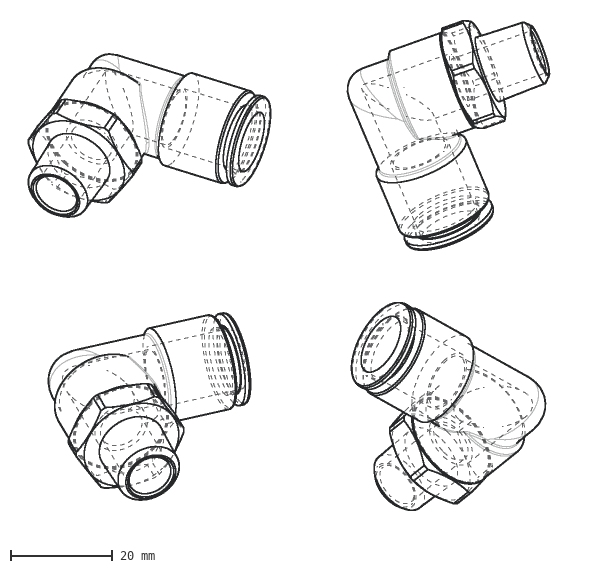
import cadquery as cq
import math


elbow_radius = 17 / 2
miter_fillet = 4
passage_diameter = 11

socket_radius = 19 / 2
socket_start_x = 11.85
socket_end_x = 25.6
socket_end_chamfer_length = 0.4
socket_end_chamfer_depth = 0.25
socket_root_fillet = 0.6
tube_hole_diameter = 12.15

collet_neck_radius = 13.5 / 2
collet_flange_radius = 18.5 / 2
collet_flange_start_x = 27.4
collet_end_x = 28.6
collet_chamfer_length = 0.4
collet_chamfer_depth = 0.2
collet_root_bevel = 0.15

sleeve_radius = 19.8 / 2
sleeve_top_y = -1.25
sleeve_cone_angle = 30
sleeve_fillet = 0.4
sleeve_cone_length = (sleeve_radius - elbow_radius) * math.tan(math.radians(sleeve_cone_angle))
sleeve_end_y = -12.75
sleeve_undercut_radius = 19.2 / 2

hex_across_flats = 20
hex_corner_radius = 22.5 / 2
hex_face_radius = 19.8 / 2
hex_top_y = -13
hex_height = 6
hex_chamfer_angle = 30

thread_length = 11
thread_root_radius = 13.45 / 2
thread_taper = 1 / 16
thread_tip_chamfer = 1.2
bore_diameter = 8.75
bore_mouth_chamfer = 0.45

hex_bottom_y = hex_top_y - hex_height
thread_end_y = hex_bottom_y - thread_length


def revolve_about_x(points):
    """Turn an (x, radius) outline about the tube axis."""
    return cq.Workplane("XY").polyline(points).close().revolve(360, (0, 0, 0), (1, 0, 0))


def revolve_about_y(stations):
    """Turn (y, radius) stations about the thread axis."""
    points = [(radius, y) for y, radius in stations]
    return cq.Workplane("XY").polyline(points).close().revolve(360, (0, 0, 0), (0, 1, 0))


def mitered_elbow(radius, reach_x, reach_y):
    """Two equal cylinders along +X and -Y, meeting on the 45 degree miter plane."""
    corner = (-2 * radius, 2 * radius)
    along_x = cq.Workplane("YZ").workplane(offset=-2 * radius).circle(radius).extrude(reach_x + 2 * radius)
    along_y = cq.Workplane("XZ").workplane(offset=-2 * radius).circle(radius).extrude(reach_y + 2 * radius)
    x_side = (
        cq.Workplane("XY").workplane(offset=-2 * radius)
        .polyline([corner, (reach_x, corner[1]), (reach_x, -reach_x)]).close().extrude(4 * radius)
    )
    y_side = (
        cq.Workplane("XY").workplane(offset=-2 * radius)
        .polyline([corner, (corner[0], -reach_y), (reach_y, -reach_y)]).close().extrude(4 * radius)
    )
    return along_x.intersect(x_side).union(along_y.intersect(y_side))


def rounded_miter_ball():
    """Round-over of the outer miter edge: a ball rolled along the mitered elbow from the inside.

    The ball centre follows a half ellipse in the miter plane; only the outward half of the swept
    tube is made, and the filled ellipse behind it closes the inside.
    """
    path_radius = elbow_radius - miter_fillet
    path_reach = path_radius * math.sqrt(2)
    miter_plane = cq.Plane(origin=(0, 0, 0), xDir=(-1, 1, 0), normal=(1, 1, 0))
    path = cq.Workplane(miter_plane).ellipseArc(path_reach, path_radius, -90, 90, startAtCurrent=False)
    start_plane = cq.Plane(origin=(0, 0, -path_radius), xDir=(1, 1, 0), normal=(-1, 1, 0))
    half_disc = (
        cq.Workplane(start_plane)
        .moveTo(-miter_fillet, 0)
        .threePointArc((0, miter_fillet), (miter_fillet, 0))
        .close()
    )
    rim = half_disc.sweep(path, isFrenet=True)
    filling = cq.Workplane(miter_plane).ellipse(path_reach, path_radius).extrude(miter_fillet, both=True)
    return rim.union(filling)


def elbow_body():
    sharp = mitered_elbow(elbow_radius, socket_start_x, -sleeve_end_y)
    far = 2 * elbow_radius
    tangent_slope = 1 - miter_fillet / elbow_radius
    wedge = (
        cq.Workplane("XY").workplane(offset=-far)
        .polyline([(0, 0), (-far, far * tangent_slope), (-far, far), (-far * tangent_slope, far)])
        .close().extrude(2 * far)
    )
    return sharp.cut(wedge).union(rounded_miter_ball().intersect(wedge))


def socket():
    return revolve_about_x([
        (socket_start_x, 0),
        (socket_start_x, elbow_radius),
        (socket_start_x + socket_radius - elbow_radius, socket_radius),
        (socket_end_x - socket_end_chamfer_length, socket_radius),
        (socket_end_x, socket_radius - socket_end_chamfer_depth),
        (socket_end_x, 0),
    ])


def collet():
    return revolve_about_x([
        (socket_start_x, 0),
        (socket_start_x, collet_neck_radius),
        (collet_flange_start_x - collet_root_bevel, collet_neck_radius),
        (collet_flange_start_x, collet_neck_radius + collet_root_bevel),
        (collet_flange_start_x, collet_flange_radius),
        (collet_end_x - collet_chamfer_length, collet_flange_radius),
        (collet_end_x, collet_flange_radius - collet_chamfer_depth),
        (collet_end_x, 0),
    ])


def sleeve():
    blank = revolve_about_y([
        (sleeve_top_y, 0),
        (sleeve_top_y, elbow_radius),
        (sleeve_top_y - sleeve_cone_length, sleeve_radius),
        (sleeve_end_y, sleeve_radius),
        (sleeve_end_y, sleeve_undercut_radius),
        (hex_top_y, sleeve_undercut_radius),
        (hex_top_y, 0),
    ])
    shoulder_centre = cq.selectors.NearestToPointSelector((0, sleeve_top_y - sleeve_cone_length, 0))
    return blank.edges(shoulder_centre).fillet(sleeve_fillet)


def outer_body():
    """Elbow, sleeve and socket with the roots of the sleeve and of the socket filleted."""
    body = elbow_body().union(sleeve())
    junction_box = cq.selectors.BoxSelector(
        (-sleeve_radius, sleeve_top_y - sleeve_cone_length / 2, -sleeve_radius),
        (sleeve_radius, sleeve_top_y + sleeve_cone_length / 2, sleeve_radius),
    )
    body = body.edges(junction_box).fillet(sleeve_fillet).union(socket())
    socket_root_centre = cq.selectors.NearestToPointSelector((socket_start_x, 0, 0))
    return body.edges(socket_root_centre).fillet(socket_root_fillet)


def hexagon():
    corner_diameter = hex_across_flats / math.cos(math.pi / 6)
    chamfer_length = (hex_corner_radius - hex_face_radius) * math.tan(math.radians(hex_chamfer_angle))
    prism = cq.Workplane("XZ").workplane(offset=-hex_top_y).polygon(6, corner_diameter).extrude(hex_height)
    envelope = revolve_about_y([
        (hex_top_y, 0),
        (hex_top_y, hex_face_radius),
        (hex_top_y - chamfer_length, hex_corner_radius),
        (hex_bottom_y + chamfer_length, hex_corner_radius),
        (hex_bottom_y, hex_face_radius),
        (hex_bottom_y, 0),
    ])
    return prism.intersect(envelope)


def thread_stub():
    chamfer_start_y = thread_end_y + thread_tip_chamfer
    tip_radius = thread_root_radius - (hex_bottom_y - chamfer_start_y) * thread_taper / 2
    return revolve_about_y([
        (hex_bottom_y, 0),
        (hex_bottom_y, thread_root_radius),
        (chamfer_start_y, tip_radius),
        (thread_end_y, tip_radius - thread_tip_chamfer),
        (thread_end_y, 0),
    ])


def thread_bore():
    bore_radius = bore_diameter / 2
    return revolve_about_y([
        (0, 0),
        (0, bore_radius),
        (thread_end_y + bore_mouth_chamfer, bore_radius),
        (thread_end_y, bore_radius + bore_mouth_chamfer),
        (thread_end_y, 0),
    ])


def tube_hole():
    return (
        cq.Workplane("YZ").workplane(offset=socket_start_x)
        .circle(tube_hole_diameter / 2).extrude(collet_end_x - socket_start_x)
    )


def flow_passage():
    return mitered_elbow(passage_diameter / 2, socket_start_x, -hex_top_y)


result = (
    outer_body()
    .union(collet())
    .union(hexagon())
    .union(thread_stub())
    .cut(flow_passage())
    .cut(thread_bore())
    .cut(tube_hole())
)